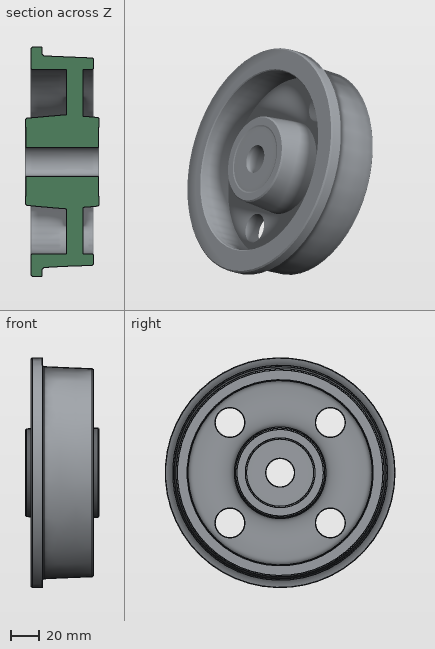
import cadquery as cq
import math

hub_length = 52.0
flange_front = 3.9
flange_back = 12.0
tread_start = 13.0
rim_back = 48.1
web_front = 28.8
web_thickness = 12.0
web_back = web_front + web_thickness

flange_radius = 81.0
flange_root_radius = 75.8
tread_large_radius = 74.8
tread_small_radius = 73.4
rim_inner_radius = 65.0
front_hub_radius = 31.0
back_hub_radius = 31.5
bearing_seat_radius = 23.7
bore_radius = 10.0

edge_chamfer = 1.0
bearing_recess = 0.3
bearing_bevel = 1.0
rim_bore_chamfer = 0.6
hub_draft = math.tan(math.radians(5))

hole_count = 4
hole_radius = 10.4
hole_circle_radius = 50.0


def hub_root_radius(end_radius, height):
    """Radius of the drafted hub where it meets the web."""
    return end_radius + height * hub_draft


def wheel_body():
    """Revolved section, with points given as (axial position, radius)."""
    section = [
        (bearing_recess, bore_radius),
        (bearing_recess, bearing_seat_radius),
        (0, bearing_seat_radius + bearing_bevel),
        (0, front_hub_radius - edge_chamfer),
        (edge_chamfer, front_hub_radius),
        (web_front, hub_root_radius(front_hub_radius, web_front - edge_chamfer)),
        (web_front, rim_inner_radius),
        (flange_front + rim_bore_chamfer, rim_inner_radius),
        (flange_front, rim_inner_radius + rim_bore_chamfer),
        (flange_front, flange_radius - edge_chamfer),
        (flange_front + edge_chamfer, flange_radius),
        (flange_back, flange_radius),
        (flange_back, flange_root_radius),
        (tread_start, tread_large_radius),
        (rim_back - edge_chamfer, tread_small_radius),
        (rim_back, tread_small_radius - edge_chamfer),
        (rim_back, rim_inner_radius + rim_bore_chamfer),
        (rim_back - rim_bore_chamfer, rim_inner_radius),
        (web_back, rim_inner_radius),
        (web_back, hub_root_radius(back_hub_radius, hub_length - edge_chamfer - web_back)),
        (hub_length - edge_chamfer, back_hub_radius),
        (hub_length, back_hub_radius - edge_chamfer),
        (hub_length, bearing_seat_radius + bearing_bevel),
        (hub_length - bearing_recess, bearing_seat_radius),
        (hub_length - bearing_recess, bore_radius),
    ]
    return cq.Workplane("XY").polyline(section).close().revolve(360, (0, 0, 0), (1, 0, 0))


def lightening_holes():
    """Equally spaced cylinders through the web, on the diagonals."""
    return (
        cq.Workplane("YZ", origin=(web_front, 0, 0))
        .polarArray(hole_circle_radius, 180 / hole_count, 360, hole_count)
        .circle(hole_radius)
        .extrude(web_thickness)
    )


result = wheel_body().cut(lightening_holes())